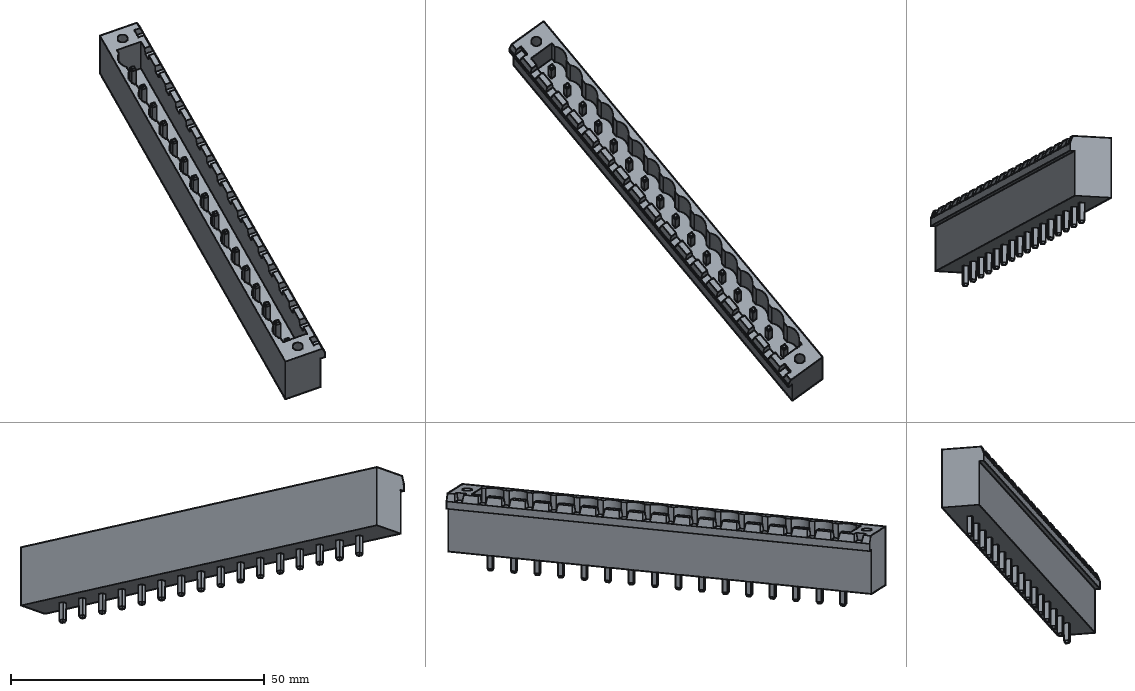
import cadquery as cq
import math

length = 90.0
body_depth = 7.6
body_height = 12.0
end_block = 4.7

lip_overhang = 1.0
lip_height = 3.0
lip_bevel_depth = 0.6
lip_bevel_height = 1.5

pin_count = 16
pitch = 5.0
axis_y = 3.8
pin_xs = [(i - (pin_count - 1) / 2) * pitch for i in range(pin_count)]
end_xs = [pin_xs[0] - pitch, pin_xs[-1] + pitch]

cavity_floor = 3.5
cavity_front = 1.6
cavity_rear = 6.8
scallop_radius = 2.7
scallop_depth = 0.8

notch_top_width = 2.0
notch_floor_width = 1.5
notch_depth = 1.5

pin_width = 1.0
pin_tail = 4.0
pin_top = 8.5
pin_taper_height = 0.45
pin_taper_inset = 0.2

sleeve_diameter = 4.2
sleeve_hole_diameter = 2.0
sleeve_length = body_height - cavity_floor


def make_housing():
    """Extrude the side outline, including the bevelled lip, along X."""
    rear = body_depth + lip_overhang
    outline = [
        (0, 0),
        (body_depth, 0),
        (body_depth, body_height - lip_height),
        (rear, body_height - lip_height),
        (rear, body_height - lip_bevel_height),
        (rear - lip_bevel_depth, body_height),
        (0, body_height),
    ]
    return cq.Workplane("YZ").polyline(outline).close().extrude(length / 2, both=True)


def make_cavity():
    """Open pocket whose front edge bulges forward at every contact."""
    half_length = length / 2 - end_block
    half_chord = math.sqrt(scallop_radius**2 - (scallop_radius - scallop_depth) ** 2)
    outline = (
        cq.Workplane("XY")
        .workplane(offset=cavity_floor)
        .moveTo(-half_length, cavity_rear)
        .lineTo(-half_length, cavity_front)
    )
    for x in pin_xs:
        outline = outline.lineTo(x - half_chord, cavity_front).threePointArc(
            (x, cavity_front - scallop_depth), (x + half_chord, cavity_front)
        )
    outline = outline.lineTo(half_length, cavity_front).lineTo(half_length, cavity_rear)
    return outline.close().extrude(body_height - cavity_floor)


def make_notch(x):
    """Trapezoidal groove running from the cavity's rear wall out through the lip."""
    floor = body_height - notch_depth
    outline = [
        (x - notch_floor_width / 2, floor),
        (x + notch_floor_width / 2, floor),
        (x + notch_top_width / 2, body_height),
        (x - notch_top_width / 2, body_height),
    ]
    run = body_depth + lip_overhang - cavity_rear
    return cq.Workplane("XZ", origin=(0, cavity_rear, 0)).polyline(outline).close().extrude(-run)


def make_pin(x):
    """Square pin, tapered at both ends on all four sides."""
    tip_width = pin_width - 2 * pin_taper_inset
    shank_bottom = pin_taper_height - pin_tail
    shank_top = pin_top - pin_taper_height
    pin = (
        cq.Workplane("XY", origin=(x, axis_y, shank_bottom))
        .rect(pin_width, pin_width)
        .extrude(shank_top - shank_bottom)
    )
    for end_z, taper in ((shank_top, pin_taper_height), (shank_bottom, -pin_taper_height)):
        tip = (
            cq.Workplane("XY", origin=(x, axis_y, end_z))
            .rect(pin_width, pin_width)
            .workplane(offset=taper)
            .rect(tip_width, tip_width)
            .loft(ruled=True)
        )
        pin = pin.union(tip)
    return pin


def make_end_cylinder(x, diameter):
    """Vertical cylinder reaching down from the top face of an end block."""
    return (
        cq.Workplane("XY", origin=(x, axis_y, body_height))
        .circle(diameter / 2)
        .extrude(-sleeve_length)
    )


result = make_housing().cut(make_cavity())

for notch_x in end_xs + pin_xs:
    result = result.cut(make_notch(notch_x))

for pin_x in pin_xs:
    result = result.union(make_pin(pin_x))

for end_x in end_xs:
    bore = make_end_cylinder(end_x, sleeve_diameter)
    hole = make_end_cylinder(end_x, sleeve_hole_diameter)
    result = result.cut(bore, clean=False).union(bore.cut(hole), clean=False)